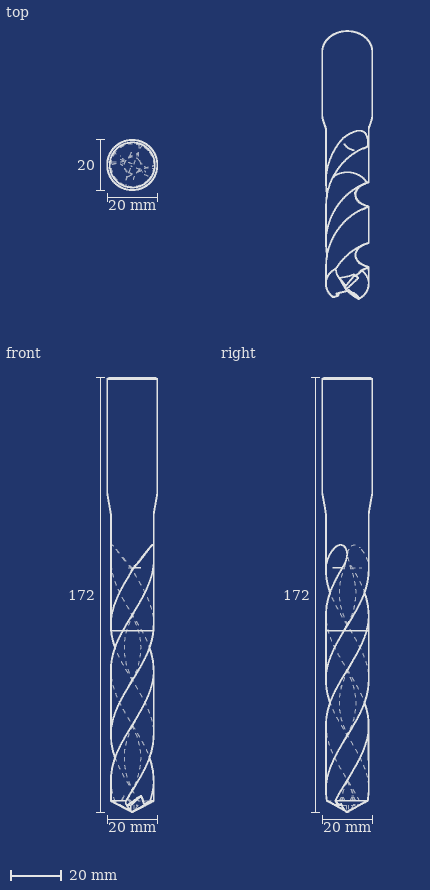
import cadquery as cq

length = 172.0
shank_radius = 20.0 / 2
drill_radius = 17.0 / 2
chamfer_width = 1.0
chamfer_height = 0.5
shank_start = 126.2
cone_start = 118.0
point_height = 4.5
split_height = 71.9

flute_count = 2
flute_lead = 87.2
flute_radius = 5.3
flute_center = 8.6
flute_end = 96.8
flute_start_angle = 91.0
runout_height = 20.6
runout_lean = 0.36
runout_sweep = 0.8

gash_offset = 0.5
gash_turn = -20.0
gash_depth = 6.9
gash_tip_x = -0.3
gash_web_height = 2.8
gash_top_x = 4.0
gash_top_height = 6.5
gash_lip_x = 5.7
gash_lip_height = 3.1


def drill_blank():
    """Solid of revolution: point, drill diameter, conical neck and chamfered shank."""
    return (
        cq.Workplane("XZ")
        .moveTo(0, 0)
        .lineTo(drill_radius, point_height)
        .lineTo(drill_radius, cone_start)
        .lineTo(shank_radius, shank_start)
        .lineTo(shank_radius, length - chamfer_height)
        .lineTo(shank_radius - chamfer_width, length)
        .lineTo(0, length)
        .close()
        .revolve(360, (0, 0, 0), (0, 1, 0))
    )


def flute_cutters(angle):
    """Helical part of one flute, and its straight run-out, which leans outward."""
    twist = 360 * flute_end / flute_lead
    helix = (
        cq.Workplane("XY")
        .moveTo(flute_center, 0)
        .circle(flute_radius)
        .twistExtrude(flute_end, twist)
        .rotate((0, 0, 0), (0, 0, 1), angle)
    )
    runout_shift = runout_height * runout_sweep
    runout_lift = runout_height * runout_lean
    section = cq.Wire.makeCircle(flute_radius, cq.Vector(flute_center, 0, flute_end), cq.Vector(0, 0, 1))
    runout = cq.Workplane(
        cq.Solid.extrudeLinear(section, [], cq.Vector(runout_lift, runout_shift, runout_height))
    ).rotate((0, 0, 0), (0, 0, 1), angle + twist)
    return helix, runout


def gash_cutter(angle):
    """Prism that opens the web between the axis and the cutting lip."""
    return (
        cq.Workplane("XZ", origin=(0, -gash_offset, 0))
        .moveTo(gash_tip_x, 0)
        .lineTo(gash_tip_x, gash_web_height)
        .lineTo(gash_top_x, gash_top_height)
        .lineTo(gash_lip_x, gash_lip_height)
        .lineTo(gash_lip_x, 0)
        .close()
        .extrude(gash_depth)
        .rotate((0, 0, 0), (0, 0, 1), gash_turn + angle)
    )


def height_block(bottom, top):
    """Block that covers the drill between two heights."""
    side = 4 * shank_radius
    return cq.Workplane("XY", origin=(0, 0, bottom)).rect(side, side).extrude(top - bottom)


drill = drill_blank()
for index in range(flute_count):
    flute_turn = index * 360 / flute_count
    helix, runout = flute_cutters(flute_start_angle + flute_turn)
    drill = drill.cut(helix).cut(runout).cut(gash_cutter(flute_turn))

cutting_head = drill.intersect(height_block(0, split_height))
shank = drill.intersect(height_block(split_height, length))

result = cq.Compound.makeCompound([cutting_head.val(), shank.val()])